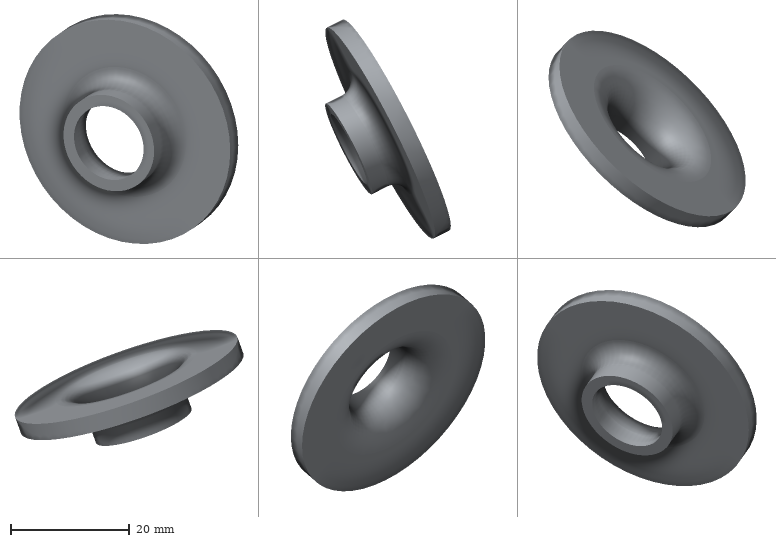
import cadquery as cq

flange_diameter = 40.0
flange_thickness = 3.0
total_length = 9.0
hub_diameter = 17.2
bore_diameter = 13.2
root_radius = 3.0
bore_mouth_radius = 6.0

flange = cq.Workplane("XZ").circle(flange_diameter / 2).extrude(flange_thickness)
hub = cq.Workplane("XZ").circle(hub_diameter / 2).extrude(total_length)
body = flange.union(hub)

smallest_circle = cq.selectors.RadiusNthSelector(0)
body = body.faces("<Y[1]").edges(smallest_circle).fillet(root_radius)

bore = cq.Workplane("XZ").circle(bore_diameter / 2).extrude(total_length)
body = body.cut(bore)
result = body.faces(">Y").edges(smallest_circle).fillet(bore_mouth_radius)